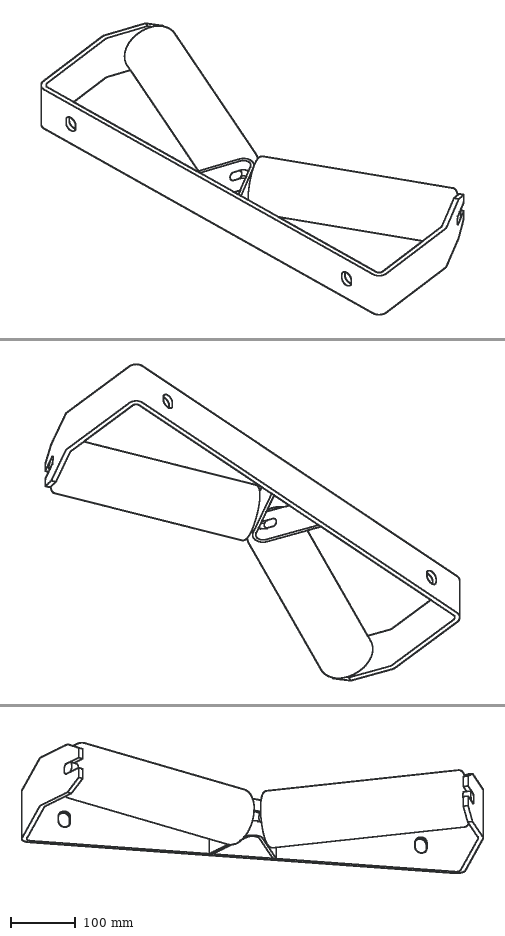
import cadquery as cq
import math

frame_length = 700.0
frame_width = 80.0
frame_thickness = 8.0
frame_bend_radius = 15.0
arm_bend_height = 157.0
arm_tip_height = 248.5
tip_chamfer_length = 29.5
tip_chamfer_depth = 15.5

mounting_slot_spacing = 563.0
mounting_slot_width = 19.0
mounting_slot_height = 26.0

bracket_height = 99.0
bracket_width = 60.0
bracket_thickness = 5.0
bracket_bend_radius = 16.0

lean_angle = 25.0
droop_angle = 1.2
roller_diameter = 89.0
roller_length = 315.0
roller_edge_radius = 5.0
axis_offset = 67.0
shaft_diameter = 20.0
shaft_flat_width = 17.0

half_length = frame_length / 2
half_width = frame_width / 2
clearance = 7.0

lean = math.radians(lean_angle)
arm_direction = cq.Vector(math.sin(lean), math.cos(lean), 0)
inward_direction = cq.Vector(math.cos(lean), -math.sin(lean), 0)


def inward_distance(x, y):
    """Distance of a point from the origin, measured square to the left arm."""
    return inward_direction.dot(cq.Vector(x, y, 0))


def leaning_point(inward, along):
    """Point given by its distances square to the left arm and along it."""
    return inward_direction * inward + arm_direction * along


arm_outer_face = inward_distance(-half_length, arm_bend_height)
arm_inner_face = arm_outer_face + frame_thickness
bracket_bend_centre = bracket_height - bracket_bend_radius
leg_outer_face = inward_distance(0, bracket_bend_centre) - bracket_bend_radius
leg_inner_face = leg_outer_face + bracket_thickness
arm_tip = (arm_tip_height - arm_outer_face * inward_direction.y) / arm_direction.y

droop = math.radians(droop_angle)
axis_direction = inward_direction * math.cos(droop) - cq.Vector(0, 0, math.sin(droop))
shaft_length = (leg_inner_face - arm_outer_face) / math.cos(droop)


def mirrored(body):
    """The same body on the right-hand side."""
    return body.mirror("YZ")


def roller_plane(distance):
    """Plane square to the left roller axis, at a distance from the shaft's outer end."""
    origin = leaning_point(arm_outer_face, axis_offset) + axis_direction * distance
    return cq.Plane(origin=origin, xDir=arm_direction * -1, normal=axis_direction)


def shaft_bar(start, length):
    """Round bar with two flats, lying on the left roller axis."""
    bar = cq.Workplane(roller_plane(start)).circle(shaft_diameter / 2).extrude(length)
    flats = cq.Workplane(roller_plane(start)).rect(shaft_diameter, shaft_flat_width).extrude(length)
    return bar.intersect(flats)


def shaft_slot(start, length, reach):
    """Cutter for a slot that seats the left shaft and opens up the arm direction."""
    mouth = (
        cq.Workplane(roller_plane(start))
        .center(-reach / 2, 0)
        .rect(reach, shaft_flat_width)
        .extrude(length)
    )
    return shaft_bar(start, length).union(mouth)


def frame_outline(inset):
    """Solid inside the frame's outline, moved in from the outer faces by an inset."""
    tip = leaning_point(arm_inner_face, arm_tip)
    face_tip = leaning_point(arm_outer_face + inset, arm_tip)
    bend = (inset - half_length, arm_bend_height - inset * math.tan(lean / 2))
    left = [(face_tip.x, face_tip.y), bend, (inset - half_length, inset)]
    if inset < frame_thickness:
        left.insert(0, (tip.x, tip.y))
    right = [(-x, y) for x, y in reversed(left)]
    bends = cq.selectors.BoxSelector(
        (-frame_length, -clearance, -frame_width),
        (frame_length, arm_bend_height + clearance, frame_width),
    )
    return (
        cq.Workplane("XY", origin=(0, 0, -half_width))
        .polyline(left + right)
        .close()
        .extrude(frame_width)
        .edges("|Z")
        .edges(bends)
        .fillet(frame_bend_radius - inset)
    )


def tip_chamfers():
    """Cutter for the two sloping corners at the tip of the left arm."""
    plane = cq.Plane(
        origin=leaning_point(arm_outer_face - clearance, arm_tip),
        xDir=arm_direction,
        normal=inward_direction,
    )
    depth = frame_thickness + 2 * clearance
    corner = (
        cq.Workplane(plane)
        .polyline([
            (-tip_chamfer_length, half_width),
            (0, half_width - tip_chamfer_depth),
            (0, half_width),
        ])
        .close()
        .extrude(depth)
    )
    return corner.union(corner.mirror("XY"))


def make_frame():
    frame = frame_outline(0).cut(frame_outline(frame_thickness))
    arm_slot = shaft_slot(-clearance, frame_thickness + 2 * clearance, arm_tip - axis_offset + clearance)
    for cutter in (arm_slot, tip_chamfers()):
        frame = frame.cut(cutter).cut(mirrored(cutter))
    mounting_slots = (
        cq.Workplane("XZ")
        .rarray(mounting_slot_spacing, 7, 2, 1)
        .slot2D(mounting_slot_height, mounting_slot_width, 90)
        .extrude(-frame_thickness)
    )
    return frame.cut(mounting_slots)


def bracket_outline(radius):
    """Solid under the bracket's two legs, which are tangent to a bend of the given radius."""
    tangent_x = radius * math.cos(lean)
    tangent_y = bracket_bend_centre + radius * math.sin(lean)
    foot_x = tangent_x + (tangent_y - frame_thickness) * math.tan(lean)
    return (
        cq.Workplane("XY", origin=(0, 0, -half_width))
        .moveTo(-foot_x, frame_thickness)
        .lineTo(-tangent_x, tangent_y)
        .threePointArc((0, bracket_bend_centre + radius), (tangent_x, tangent_y))
        .lineTo(foot_x, frame_thickness)
        .close()
        .extrude(bracket_width)
    )


def make_bracket():
    bracket = bracket_outline(bracket_bend_radius)
    bracket = bracket.cut(bracket_outline(bracket_bend_radius - bracket_thickness))
    slot_start = shaft_length - bracket_thickness - clearance
    slot = shaft_slot(slot_start, clearance + bracket_bend_radius, bracket_height)
    return bracket.cut(slot).cut(mirrored(slot))


def make_roller():
    """Left roller with its shaft."""
    middle = (arm_inner_face + leg_outer_face) / 2
    drum_start = (middle - arm_outer_face) / math.cos(droop) - roller_length / 2
    drum = (
        cq.Workplane(roller_plane(drum_start))
        .circle(roller_diameter / 2)
        .extrude(roller_length)
        .edges("%CIRCLE")
        .fillet(roller_edge_radius)
    )
    return drum.union(shaft_bar(0, shaft_length))


def make_roller_unit():
    """Centre bracket carrying both rollers, joined at the inner shaft ends."""
    roller = make_roller()
    return make_bracket().union(roller).union(mirrored(roller))


frame = make_frame()
roller_unit = make_roller_unit()

result = cq.Compound.makeCompound([frame.val(), roller_unit.val()])